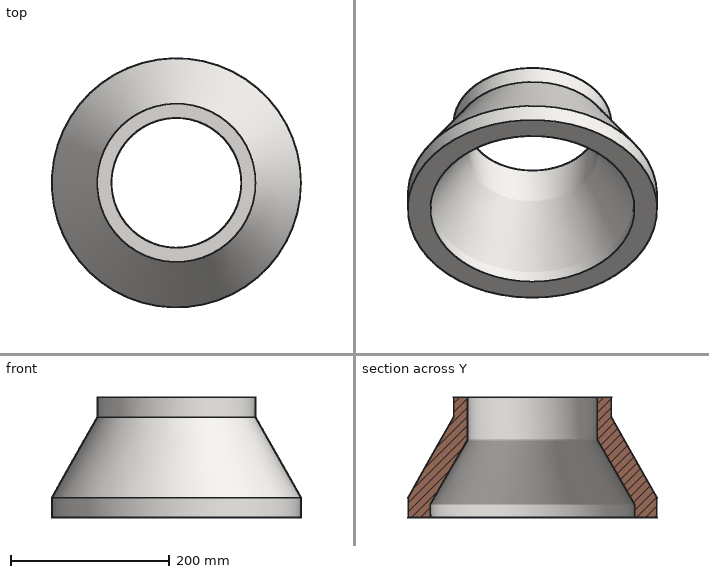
import cadquery as cq

large_diameter = 315.0
small_diameter = 200.0
total_height = 152.4
collar_height = 25.4
diameter_to_wall = 11.0
large_bore_depth = 16.6
small_bore_depth = 54.0
bore_blend_radius = 3.0

large_radius = large_diameter / 2
small_radius = small_diameter / 2
bore_ratio = 1 - 2 / diameter_to_wall


def reducer_shape(base_radius, top_radius, base_length, top_length):
    """Wide cylinder, cone and narrow cylinder in one revolved solid, base on Z = 0."""
    cone_top = total_height - top_length
    return (
        cq.Workplane("XZ")
        .lineTo(base_radius, 0)
        .lineTo(base_radius, base_length)
        .lineTo(top_radius, cone_top)
        .lineTo(top_radius, total_height)
        .lineTo(0, total_height)
        .close()
        .revolve(360, (0, 0, 0), (0, 1, 0))
    )


def blended_bore():
    """Solid that fills the opening, with both ends of its cone rounded."""
    bore = reducer_shape(
        large_radius * bore_ratio,
        small_radius * bore_ratio,
        large_bore_depth,
        small_bore_depth,
    )
    cone_end_circles = bore.edges("%CIRCLE").edges("not(<Z or >Z)")
    return cone_end_circles.fillet(bore_blend_radius)


outer_body = reducer_shape(large_radius, small_radius, collar_height, collar_height)

result = outer_body.cut(blended_bore())